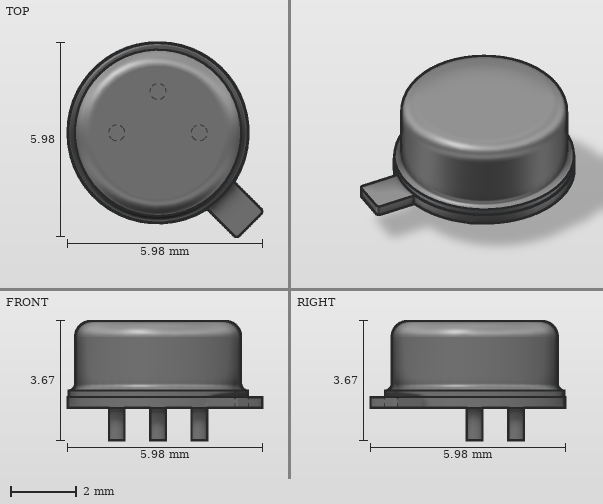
import cadquery as cq
import math

base_radius = 2.78
base_thickness = 0.33
tab_reach = 4.0
tab_width = 1.17
tab_angle = -45
tab_fillet = 0.1

cap_radius = 2.555
cap_top = 2.675
cap_top_fillet = 0.5
flange_thickness = 0.205
flare_radius = 0.205

lead_diameter = 0.49
lead_length = 1.0
lead_circle_radius = 1.27
lead_angles = (0, 90, 180)


def make_base():
    disc = cq.Workplane("XY").circle(base_radius).extrude(base_thickness)
    tab = (
        cq.Workplane("XY")
        .center(tab_reach / 2, 0)
        .rect(tab_reach, tab_width)
        .extrude(base_thickness)
        .edges("|Z and >X")
        .fillet(tab_fillet)
    )
    root_x = math.sqrt(base_radius**2 - (tab_width / 2) ** 2)
    root_points = [(root_x, side * tab_width / 2, base_thickness / 2) for side in (-1, 1)]
    base = disc.union(tab)
    for point in root_points:
        base = base.edges(cq.selectors.NearestToPointSelector(point)).fillet(tab_fillet)
    return base.rotate((0, 0, 0), (0, 0, 1), tab_angle)


def make_cap():
    flange_radius = cap_radius + flare_radius
    flange_top = base_thickness + flange_thickness
    flare_top = flange_top + flare_radius
    shoulder = cap_top - cap_top_fillet
    crown_radius = cap_radius - cap_top_fillet
    diagonal = math.sqrt(0.5)
    flare_middle = (
        flange_radius - flare_radius * diagonal,
        flare_top - flare_radius * diagonal,
    )
    crown_middle = (
        crown_radius + cap_top_fillet * diagonal,
        shoulder + cap_top_fillet * diagonal,
    )
    return (
        cq.Workplane("XZ")
        .moveTo(0, base_thickness)
        .lineTo(flange_radius, base_thickness)
        .lineTo(flange_radius, flange_top)
        .threePointArc(flare_middle, (cap_radius, flare_top))
        .lineTo(cap_radius, shoulder)
        .threePointArc(crown_middle, (crown_radius, cap_top))
        .lineTo(0, cap_top)
        .close()
        .revolve(360, (0, 0, 0), (0, 1, 0))
    )


def make_leads():
    centres = [
        (
            lead_circle_radius * math.cos(math.radians(angle)),
            lead_circle_radius * math.sin(math.radians(angle)),
        )
        for angle in lead_angles
    ]
    return cq.Workplane("XY").pushPoints(centres).circle(lead_diameter / 2).extrude(-lead_length)


result = make_base().union(make_cap()).union(make_leads())